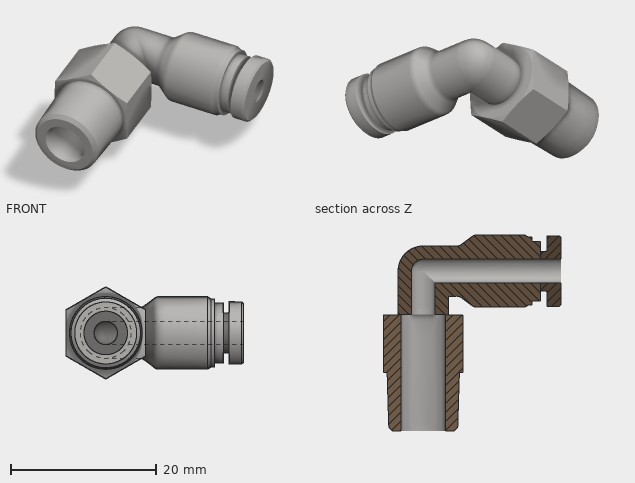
import cadquery as cq
import math


passage_diameter = 3.2

hex_across_flats = 11.0
hex_length = 8.0
hex_start = 6.02
flat_turn = 30
hex_corner_drop = 0.27
thread_base_diameter = 10.02
thread_tip_diameter = 9.55
thread_length = 8.0
thread_chamfer = 0.5
stud_bore_diameter = 6.0

pipe_diameter = 7.0
barrel_diameter = 10.0
cone_start = 5.0
cone_end = 7.0
cone_blend_radius = 1.0
barrel_end = 14.47
barrel_chamfer_length = 0.49
collar_diameter = 9.4
collar_length = 0.5
ring_diameter = 8.3
ring_length = 1.22

neck_diameter = 5.5
neck_length = 0.78
neck_fillet = 0.15
head_width_y = 9.8
head_width_z = 8.59
head_length = 2.0
head_chamfer = 0.27

hex_corner_radius = hex_across_flats / math.sqrt(3)
hex_end = hex_start + hex_length
stud_end = hex_end + thread_length
pipe_radius = pipe_diameter / 2
barrel_radius = barrel_diameter / 2
collar_radius = collar_diameter / 2
ring_radius = ring_diameter / 2
neck_radius = neck_diameter / 2
collar_end = barrel_end + collar_length
ring_end = collar_end + ring_length
head_start = ring_end + neck_length
head_end = head_start + head_length


def cylinder_x(diameter, start, end):
    """Cylinder on the outlet axis between two X places."""
    return cq.Workplane("YZ").workplane(offset=start).circle(diameter / 2).extrude(end - start)


def cylinder_y(diameter, start, end):
    """Cylinder on the inlet axis between two distances toward -Y."""
    return cq.Workplane("XZ").workplane(offset=start).circle(diameter / 2).extrude(end - start)


def bent_rod(diameter, outlet_end):
    """Two square legs joined by a ball at the corner."""
    ball = cq.Workplane("XY").sphere(diameter / 2)
    inlet_leg = cylinder_y(diameter, 0, hex_start)
    outlet_leg = cylinder_x(diameter, 0, outlet_end)
    return inlet_leg.union(outlet_leg).union(ball)


def make_hexagon():
    """Hexagon with flats facing +X and -X, its corners chamfered at both ends."""
    prism = (
        cq.Workplane("XZ")
        .workplane(offset=hex_start)
        .polygon(6, 2 * hex_corner_radius)
        .extrude(hex_length)
        .rotate((0, 0, 0), (0, 1, 0), flat_turn)
    )
    flat_radius = hex_across_flats / 2
    chamfer_envelope = (
        cq.Workplane("XY")
        .moveTo(0, -hex_start)
        .lineTo(flat_radius, -hex_start)
        .lineTo(hex_corner_radius, -hex_start - hex_corner_drop)
        .lineTo(hex_corner_radius, -hex_end + hex_corner_drop)
        .lineTo(flat_radius, -hex_end)
        .lineTo(0, -hex_end)
        .close()
        .revolve(360, (0, 0), (0, 1))
    )
    return prism.intersect(chamfer_envelope)


def make_thread():
    """Tapered thread envelope with a chamfered tip."""
    tip_radius = thread_tip_diameter / 2
    return (
        cq.Workplane("XY")
        .moveTo(0, -hex_end)
        .lineTo(thread_base_diameter / 2, -hex_end)
        .lineTo(tip_radius, -stud_end + thread_chamfer)
        .lineTo(tip_radius - thread_chamfer, -stud_end)
        .lineTo(0, -stud_end)
        .close()
        .revolve(360, (0, 0), (0, 1))
    )


def make_stud():
    bore = cylinder_y(stud_bore_diameter, hex_start, stud_end)
    return make_hexagon().union(make_thread()).cut(bore)


def make_barrel():
    """Cone, barrel, collar and ring, turned about the outlet axis, with both cone ends blended."""
    cone_angle = math.atan2(barrel_radius - pipe_radius, cone_end - cone_start)
    blend_reach = cone_blend_radius * math.tan(cone_angle / 2)
    reach_x = blend_reach * math.cos(cone_angle)
    reach_r = blend_reach * math.sin(cone_angle)
    return (
        cq.Workplane("XY")
        .moveTo(0, 0)
        .lineTo(0, pipe_radius)
        .lineTo(cone_start - blend_reach, pipe_radius)
        .tangentArcPoint((cone_start + reach_x, pipe_radius + reach_r), relative=False)
        .lineTo(cone_end - reach_x, barrel_radius - reach_r)
        .tangentArcPoint((cone_end + blend_reach, barrel_radius), relative=False)
        .lineTo(barrel_end - barrel_chamfer_length, barrel_radius)
        .lineTo(barrel_end, collar_radius)
        .lineTo(collar_end, collar_radius)
        .lineTo(collar_end, ring_radius)
        .lineTo(ring_end, ring_radius)
        .lineTo(ring_end, 0)
        .close()
        .revolve(360, (0, 0), (1, 0))
    )


def make_elbow():
    outside = bent_rod(pipe_diameter, cone_start - cone_blend_radius).union(make_barrel())
    return outside.cut(bent_rod(passage_diameter, ring_end))


def make_release_button():
    neck = (
        cq.Workplane("XY")
        .moveTo(ring_end, 0)
        .lineTo(ring_end, neck_radius)
        .lineTo(head_start - neck_fillet, neck_radius)
        .tangentArcPoint((head_start, neck_radius + neck_fillet), relative=False)
        .lineTo(head_start, 0)
        .close()
        .revolve(360, (0, 0), (1, 0))
    )
    head = (
        cq.Workplane("YZ")
        .workplane(offset=head_start)
        .ellipse(head_width_y / 2, head_width_z / 2)
        .extrude(head_length)
        .faces(">X")
        .chamfer(head_chamfer)
    )
    return neck.union(head).cut(cylinder_x(passage_diameter, ring_end, head_end))


stud = make_stud()
elbow = make_elbow()
release_button = make_release_button()

result = cq.Compound.makeCompound([stud.solids().val(), elbow.solids().val(), release_button.solids().val()])